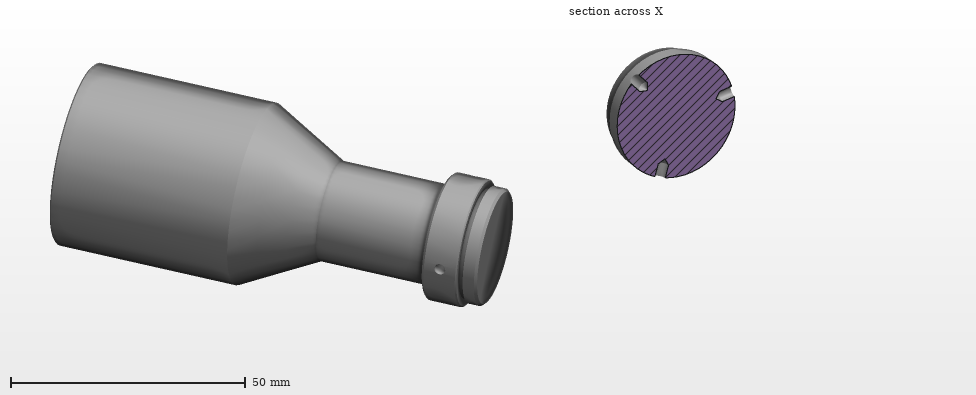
import cadquery as cq

total_length = 93.6
body_end = 40.0
cone_end = 56.9
collar_start = 81.5
collar_end = 89.4
flange_start = 90.5

body_diameter = 40.0
neck_diameter = 22.0
collar_diameter = 28.0
groove_diameter = 24.15
flange_diameter = 25.7

body_chamfer = 0.4
collar_front_chamfer = 0.6
collar_rear_chamfer = 0.3
flange_chamfer = 0.6

screw_diameter = 2.4
screw_depth = 3.0
screw_tip_depth = screw_diameter / 2
screw_clearance = 0.9
screw_count = 3
first_screw_angle = 45.8
screw_x = 85.6


def cylinder(start, end, diameter):
    """Solid cylinder on the X axis between two stations."""
    return cq.Workplane("YZ", origin=(start, 0, 0)).circle(diameter / 2).extrude(end - start)


def make_body():
    return cylinder(0, body_end, body_diameter).faces("<X").chamfer(body_chamfer)


def make_cone():
    return (
        cq.Workplane("YZ", origin=(body_end, 0, 0))
        .circle(body_diameter / 2)
        .workplane(offset=cone_end - body_end)
        .circle(neck_diameter / 2)
        .loft(ruled=True)
    )


def make_collar():
    collar = cylinder(collar_start, collar_end, collar_diameter)
    collar = collar.faces("<X").chamfer(collar_front_chamfer)
    collar = collar.faces(">X").chamfer(collar_rear_chamfer)
    for index in range(screw_count):
        collar = collar.cut(make_screw_hole(first_screw_angle + index * 360 / screw_count))
    return collar


def make_screw_hole(angle):
    """Radial cutter with a conical tip, entering the collar at the given angle about the X axis."""
    radius = screw_diameter / 2
    floor_y = collar_diameter / 2 - screw_depth
    outer_y = collar_diameter / 2 + screw_clearance
    return (
        cq.Workplane("XY", origin=(screw_x, 0, 0))
        .moveTo(0, floor_y - screw_tip_depth)
        .lineTo(radius, floor_y)
        .lineTo(radius, outer_y)
        .lineTo(0, outer_y)
        .close()
        .revolve(360, (0, 0, 0), (0, 1, 0))
        .rotate((0, 0, 0), (1, 0, 0), angle)
    )


def make_flange():
    return cylinder(flange_start, total_length, flange_diameter).faces(">X").chamfer(flange_chamfer)


neck = cylinder(cone_end, collar_start, neck_diameter)
groove = cylinder(collar_end, flange_start, groove_diameter)

result = make_body()
for section in (make_cone(), neck, make_collar(), groove, make_flange()):
    result = result.union(section)